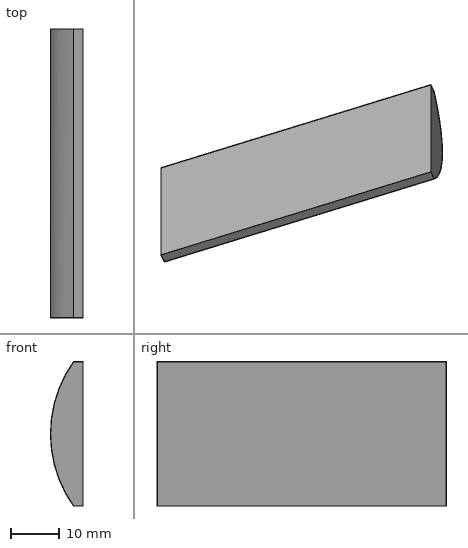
import cadquery as cq

length = 60.0
height = 30.0
center_thickness = 6.8
edge_thickness = 2.0

half_height = height / 2
edge_x = center_thickness - edge_thickness

profile = (
    cq.Workplane("XZ")
    .moveTo(center_thickness, -half_height)
    .lineTo(center_thickness, half_height)
    .lineTo(edge_x, half_height)
    .threePointArc((0, 0), (edge_x, -half_height))
    .close()
)

result = profile.extrude(length / 2, both=True)